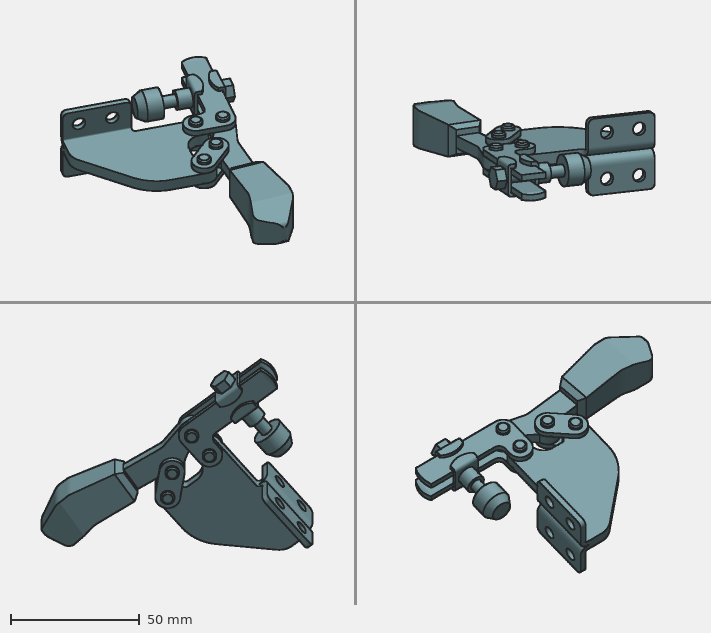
import math

import cadquery as cq


SHEET = 2.5
CORE_HALF = SHEET
PLATE_TOP = CORE_HALF + SHEET
TALL = 55.9

PIVOT_PITCH = 11.0
ARM_BASE_PIVOT = (0.0, 0.0)
ARM_LEVER_PIVOT = (0.0, PIVOT_PITCH)
LINK_LEVER_PIVOT = (15.9, 3.4)
LINK_BASE_PIVOT = (24.0, -3.9)
EYE_RADIUS = 5.0
LINK_RADIUS = 4.9
PIN_RADIUS = 2.7
PIN_HEAD = 1.7
PIN_CHAMFER = 0.7

ARM_TIP_X = -39.9
ARM_TOP = PIVOT_PITCH + EYE_RADIUS
ARM_BOTTOM = PIVOT_PITCH - EYE_RADIUS
ARM_TIP_BULGE = 1.2
ARM_CORNER_RADIUS = 2.8
TIP_BEND = [(-38.0, 0.0), (-38.7, 0.13), (ARM_TIP_X, 0.6)]

FLANGE_X = -9.5
FLANGE_TOP = -23.9
FLANGE_LENGTH = 28.0
FLANGE_BOTTOM = FLANGE_TOP - FLANGE_LENGTH
FLANGE_HEIGHT = 31.0
FLANGE_CORNER_RADIUS = 2.2
BEND_RADIUS = 3.9
BEND_INNER_RADIUS = 0.7
BEND_INNER_X = FLANGE_X + SHEET + BEND_INNER_RADIUS
HOLE_RADIUS = 2.6
HOLE_PITCH_Y = 13.5
HOLE_PITCH_Z = 18.8
LOWER_HOLE_Y = FLANGE_BOTTOM + 6.6
BASE_RIGHT = LINK_BASE_PIVOT[0] + LINK_RADIUS
HEEL_Y = -27.0
HEEL_RADIUS = 19.8
TOE_RADIUS = 8.0
WEB_WAIST_Y = -13.4
NOTCH_FLOOR = -6.3
NOTCH_RIGHT = 17.7
NOTCH_RADIUS = 2.0

NECK_TOP_TANGENT = 76
NECK_HEEL_TANGENT = -60
NECK_VALLEY = (13.1, 13.1)
NECK_VALLEY_RADIUS = 6.7
NECK_TOP_END = (32.4, 15.3)
NECK_BOTTOM_END = (32.4, 5.1)
NECK_HEEL = (21.3, 3.8)
NECK_CLEARANCE = [(5.3, 5.6), (8.0, 4.3), (11.1, 2.0)]
GRIP_TILT = 5.6
GRIP_FRONT = 32.0
GRIP_SHOULDER = 34.9
GRIP_RIDGE = 59.2
GRIP_TIP = 70.4
GRIP_END = 72.9
GRIP_FRONT_HALF = 4.9
GRIP_SHOULDER_HALF = 6.5
GRIP_RIDGE_HALF = 7.9
GRIP_TIP_HALF = 5.3
GRIP_END_HALF = 2.9
GRIP_CORNERS = [
    (31.7, 5.0, 0),
    (34.7, 3.2, 0),
    (53.2, 5.5, 11.2),
    (67.2, 3.1, 3.4),
    (72.7, 15.2, 2.5),
    (58.8, 21.8, 6.7),
    (52.6, 21.9, 6.7),
    (33.3, 17.3, 0),
    (30.6, 15.0, 0),
]

SPINDLE_X = -22.5
ROD_RADIUS = 2.5
HEX_FLATS = 7.9
HEX_TOP = 21.4
SLEEVE_RADIUS = 3.9
SLEEVE_END = -1.5
PAD_RADIUS = 6.3
PAD_TOP = -7.8
PAD_RIM = -14.5
PAD_END = -18.0
PAD_END_RADIUS = 4.3
WASHER_SHEET = 1.3
TAB_SHEET = 1.7
WASHER_HALF_WIDTH = 5.6
TAB_SIDE_REACH = 3.4
TAB_MIDDLE_REACH = 1.6
WASHER_OUTER = EYE_RADIUS + WASHER_SHEET


def rounded_outline(corners):
    """Closed wire through corners (x, y, radius), each rounded by a tangent arc."""
    for i, (x, y, radius) in enumerate(corners):
        before = cq.Vector(*corners[i - 1][:2])
        after = cq.Vector(*corners[(i + 1) % len(corners)][:2])
        corner = cq.Vector(x, y)
        to_before = (before - corner).normalized()
        to_after = (after - corner).normalized()
        half_angle = to_before.getAngle(to_after) / 2
        setback = radius / math.tan(half_angle)
        start = corner + to_before * setback
        if i == 0:
            path = cq.Workplane("XY").moveTo(start.x, start.y)
        else:
            path = path.lineTo(start.x, start.y)
        if radius:
            end = corner + to_after * setback
            to_middle = (to_before + to_after).normalized()
            middle = corner + to_middle * (radius / math.sin(half_angle) - radius)
            path = path.threePointArc((middle.x, middle.y), (end.x, end.y))
    return path.close()


def on_circle(centre, radius, degrees):
    angle = math.radians(degrees)
    return (centre[0] + radius * math.cos(angle), centre[1] + radius * math.sin(angle))


def round_prism(centre, radius, half_length):
    """Cylinder along Z, symmetric about Z = 0."""
    return cq.Workplane("XY").center(*centre).circle(radius).extrude(half_length, both=True)


def pivot_pin(pivot):
    pin = round_prism(pivot, PIN_RADIUS, PLATE_TOP + PIN_HEAD)
    return pin.faces("|Z").chamfer(PIN_CHAMFER)


def plate_pair(plate):
    """An upper plate and its mirror image below Z = 0."""
    return plate.union(plate.mirror("XY"))


def base_web():
    """Upper sheet of the web, standing on the plane Z = 0."""
    flange_inner_x = FLANGE_X + SHEET
    toe_x = BASE_RIGHT - (HEEL_Y - FLANGE_BOTTOM)
    lower = rounded_outline([
        (flange_inner_x, FLANGE_BOTTOM, 0),
        (toe_x, FLANGE_BOTTOM, TOE_RADIUS),
        (BASE_RIGHT, HEEL_Y, HEEL_RADIUS),
        (BASE_RIGHT, WEB_WAIST_Y, 0),
        (-EYE_RADIUS, WEB_WAIST_Y, 0),
        (-EYE_RADIUS, FLANGE_TOP, -EYE_RADIUS - BEND_INNER_X),
        (flange_inner_x, FLANGE_TOP, 0),
    ]).extrude(SHEET)
    arc_radius = -NOTCH_FLOOR
    arc_centre = (EYE_RADIUS + arc_radius, 0.0)
    corner_centre = (NOTCH_RIGHT - NOTCH_RADIUS, NOTCH_FLOOR + NOTCH_RADIUS)
    upper = (
        cq.Workplane("XY")
        .moveTo(-EYE_RADIUS, WEB_WAIST_Y)
        .lineTo(-EYE_RADIUS, 0)
        .threePointArc((0, EYE_RADIUS), (EYE_RADIUS, 0))
        .threePointArc(on_circle(arc_centre, arc_radius, 225), (arc_centre[0], NOTCH_FLOOR))
        .lineTo(corner_centre[0], NOTCH_FLOOR)
        .threePointArc(on_circle(corner_centre, NOTCH_RADIUS, -45), (NOTCH_RIGHT, corner_centre[1]))
        .lineTo(NOTCH_RIGHT, LINK_BASE_PIVOT[1])
        .lineTo(*on_circle(LINK_BASE_PIVOT, LINK_RADIUS, 135))
        .threePointArc(
            on_circle(LINK_BASE_PIVOT, LINK_RADIUS, 67.5),
            (BASE_RIGHT, LINK_BASE_PIVOT[1]),
        )
        .lineTo(BASE_RIGHT, WEB_WAIST_Y)
        .close()
        .extrude(SHEET)
    )
    return lower.union(upper)


def base_flange():
    """Upper flange and the root that joins it to the web, before the outer bend is rounded."""
    flange = (
        cq.Workplane("XZ", origin=(0, FLANGE_TOP, 0))
        .moveTo(FLANGE_X, 0)
        .lineTo(FLANGE_X, FLANGE_HEIGHT / 2)
        .lineTo(FLANGE_X + SHEET, FLANGE_HEIGHT / 2)
        .lineTo(FLANGE_X + SHEET, SHEET + BEND_INNER_RADIUS)
        .radiusArc((BEND_INNER_X, SHEET), -BEND_INNER_RADIUS)
        .lineTo(BEND_INNER_X, 0)
        .close()
        .extrude(FLANGE_LENGTH)
        .edges("|X and >Z")
        .fillet(FLANGE_CORNER_RADIUS)
    )
    hole_places = [(LOWER_HOLE_Y + i * HOLE_PITCH_Y, HOLE_PITCH_Z / 2) for i in range(2)]
    holes = (
        cq.Workplane("YZ", origin=(FLANGE_X, 0, 0))
        .pushPoints(hole_places)
        .circle(HOLE_RADIUS)
        .extrude(SHEET)
    )
    return flange.cut(holes)


def bend_groove():
    """Material removed outside the rounded bend, from the plane Z = 0 up to the flange face."""
    bend_centre = (FLANGE_X + BEND_RADIUS, BEND_RADIUS)
    return (
        cq.Workplane("XZ", origin=(0, FLANGE_TOP, 0))
        .moveTo(FLANGE_X, 0)
        .lineTo(bend_centre[0], 0)
        .threePointArc(on_circle(bend_centre, BEND_RADIUS, 225), (FLANGE_X, BEND_RADIUS))
        .close()
        .extrude(FLANGE_LENGTH)
    )


def make_base():
    base = plate_pair(base_web().union(base_flange()).cut(bend_groove()))
    for pivot in (ARM_BASE_PIVOT, LINK_BASE_PIVOT):
        base = base.cut(round_prism(pivot, PIN_RADIUS, CORE_HALF))
    return base


def arm_outline():
    corner_x = ARM_TIP_X + ARM_TIP_BULGE
    fillet_centre = (-EYE_RADIUS - ARM_CORNER_RADIUS, ARM_BOTTOM - ARM_CORNER_RADIUS)
    return (
        cq.Workplane("XY")
        .moveTo(corner_x, ARM_TOP)
        .lineTo(0, ARM_TOP)
        .threePointArc(on_circle(ARM_LEVER_PIVOT, EYE_RADIUS, 45), (EYE_RADIUS, PIVOT_PITCH))
        .lineTo(EYE_RADIUS, 0)
        .threePointArc((0, -EYE_RADIUS), (-EYE_RADIUS, 0))
        .lineTo(-EYE_RADIUS, fillet_centre[1])
        .threePointArc(on_circle(fillet_centre, ARM_CORNER_RADIUS, 45), (fillet_centre[0], ARM_BOTTOM))
        .lineTo(corner_x, ARM_BOTTOM)
        .threePointArc((ARM_TIP_X, PIVOT_PITCH), (corner_x, ARM_TOP))
        .close()
    )


def make_arm():
    """The plate's edge profile bends outward at the tip and is trimmed to the arm outline."""
    inner_edge = [(x, CORE_HALF + rise) for x, rise in TIP_BEND]
    outer_edge = [(x, PLATE_TOP + rise) for x, rise in reversed(TIP_BEND)]
    bent_strip = (
        cq.Workplane("XZ")
        .polyline([(EYE_RADIUS, CORE_HALF), *inner_edge, *outer_edge, (EYE_RADIUS, PLATE_TOP)])
        .close()
        .extrude(TALL, both=True)
    )
    plate = bent_strip.intersect(arm_outline().extrude(TALL))
    arm = plate_pair(plate)
    for pivot in (ARM_BASE_PIVOT, ARM_LEVER_PIVOT):
        arm = arm.union(pivot_pin(pivot))
    return arm


def make_link():
    run = LINK_BASE_PIVOT[0] - LINK_LEVER_PIVOT[0]
    rise = LINK_BASE_PIVOT[1] - LINK_LEVER_PIVOT[1]
    length = math.hypot(run, rise) + 2 * LINK_RADIUS
    middle = (LINK_LEVER_PIVOT[0] + run / 2, LINK_LEVER_PIVOT[1] + rise / 2)
    plate = (
        cq.Workplane("XY", origin=(*middle, CORE_HALF))
        .slot2D(length, 2 * LINK_RADIUS, math.degrees(math.atan2(rise, run)))
        .extrude(SHEET)
    )
    link = plate_pair(plate)
    for pivot in (LINK_LEVER_PIVOT, LINK_BASE_PIVOT):
        link = link.union(pivot_pin(pivot))
    return link


def lever_plate():
    neck = rounded_outline([
        (*on_circle(ARM_LEVER_PIVOT, EYE_RADIUS, NECK_TOP_TANGENT), 0),
        (*NECK_VALLEY, NECK_VALLEY_RADIUS),
        (*NECK_TOP_END, 0),
        (*NECK_BOTTOM_END, 0),
        (*NECK_HEEL, 0),
        (*on_circle(LINK_LEVER_PIVOT, LINK_RADIUS, NECK_HEEL_TANGENT), 0),
        (*LINK_LEVER_PIVOT, 0),
        (*ARM_LEVER_PIVOT, 0),
    ]).extrude(CORE_HALF, both=True)
    clearance_start, clearance_middle, clearance_end = NECK_CLEARANCE
    belly = (
        cq.Workplane("XY")
        .moveTo(*ARM_LEVER_PIVOT)
        .lineTo(0, ARM_BOTTOM)
        .lineTo(*clearance_start)
        .threePointArc(clearance_middle, clearance_end)
        .lineTo(*LINK_LEVER_PIVOT)
        .close()
        .extrude(CORE_HALF, both=True)
    )
    arm_eye = round_prism(ARM_LEVER_PIVOT, EYE_RADIUS, CORE_HALF)
    link_eye = round_prism(LINK_LEVER_PIVOT, LINK_RADIUS, CORE_HALF)
    return neck.union(belly).union(arm_eye).union(link_eye)


def grip():
    """Side outline trimmed by a thickness profile that runs along the tilted grip axis."""
    side = rounded_outline(GRIP_CORNERS).extrude(TALL, both=True)
    tip_middle = (
        GRIP_TIP + (GRIP_END - GRIP_TIP) * math.sin(math.radians(45)),
        GRIP_END_HALF + (GRIP_TIP_HALF - GRIP_END_HALF) * math.sin(math.radians(45)),
    )
    half_profile = (
        cq.Workplane("XZ")
        .moveTo(GRIP_FRONT, 0)
        .lineTo(GRIP_FRONT, GRIP_FRONT_HALF)
        .lineTo(GRIP_SHOULDER, GRIP_SHOULDER_HALF)
        .lineTo(GRIP_RIDGE, GRIP_RIDGE_HALF)
        .lineTo(GRIP_TIP, GRIP_TIP_HALF)
        .threePointArc(tip_middle, (GRIP_END, GRIP_END_HALF))
        .lineTo(GRIP_END, 0)
        .close()
        .extrude(TALL, both=True)
    )
    thickness = plate_pair(half_profile).rotate((0, 0, 0), (0, 0, 1), GRIP_TILT)
    return side.intersect(thickness)


def make_lever():
    lever = lever_plate().union(grip())
    for pivot in (ARM_LEVER_PIVOT, LINK_LEVER_PIVOT):
        lever = lever.cut(round_prism(pivot, PIN_RADIUS, CORE_HALF))
    return lever


def make_washer(side):
    """U-shaped washer straddling the arm; side is +1 for the upper edge, -1 for the lower."""
    outer_half = PLATE_TOP + TAB_SHEET
    channel = (
        cq.Workplane("XY")
        .box(2 * WASHER_HALF_WIDTH, 2 * WASHER_OUTER, 2 * outer_half)
        .edges("|X and >Y")
        .fillet(WASHER_SHEET)
        .cut(cq.Workplane("XY").box(TALL, 2 * EYE_RADIUS, 2 * PLATE_TOP))
    )
    tab_outline = (
        cq.Workplane("XY")
        .moveTo(-WASHER_HALF_WIDTH, WASHER_OUTER)
        .lineTo(-WASHER_HALF_WIDTH, TAB_SIDE_REACH)
        .threePointArc((0, TAB_MIDDLE_REACH), (WASHER_HALF_WIDTH, TAB_SIDE_REACH))
        .lineTo(WASHER_HALF_WIDTH, WASHER_OUTER)
        .close()
        .extrude(TALL, both=True)
    )
    bore = cq.Workplane("XZ").circle(ROD_RADIUS).extrude(-TALL)
    washer = channel.intersect(tab_outline).cut(bore)
    if side < 0:
        washer = washer.mirror("XZ")
    return washer.translate((SPINDLE_X, PIVOT_PITCH, 0))


def make_spindle():
    head_seat = PIVOT_PITCH + WASHER_OUTER
    sleeve_seat = PIVOT_PITCH - WASHER_OUTER
    turned = (
        cq.Workplane("XY")
        .polyline([
            (0, head_seat),
            (ROD_RADIUS, head_seat),
            (ROD_RADIUS, sleeve_seat),
            (SLEEVE_RADIUS, sleeve_seat),
            (SLEEVE_RADIUS, SLEEVE_END),
            (ROD_RADIUS, SLEEVE_END),
            (ROD_RADIUS, PAD_TOP),
            (PAD_RADIUS, PAD_TOP),
            (PAD_RADIUS, PAD_RIM),
            (PAD_END_RADIUS, PAD_END),
            (0, PAD_END),
        ])
        .close()
        .revolve(360, (0, 0, 0), (0, 1, 0))
    )
    across_corners = HEX_FLATS / math.cos(math.radians(30))
    head = (
        cq.Workplane("XZ", origin=(0, head_seat, 0))
        .polygon(6, across_corners)
        .extrude(head_seat - HEX_TOP)
    )
    return turned.union(head).translate((SPINDLE_X, 0, 0))


base = make_base()
arm = make_arm()
link = make_link()
lever = make_lever()
washers = [make_washer(side) for side in (1, -1)]
spindle = make_spindle()

result = cq.Compound.makeCompound([
    base.val(),
    arm.val(),
    link.val(),
    lever.val(),
    *[washer.val() for washer in washers],
    spindle.val(),
])